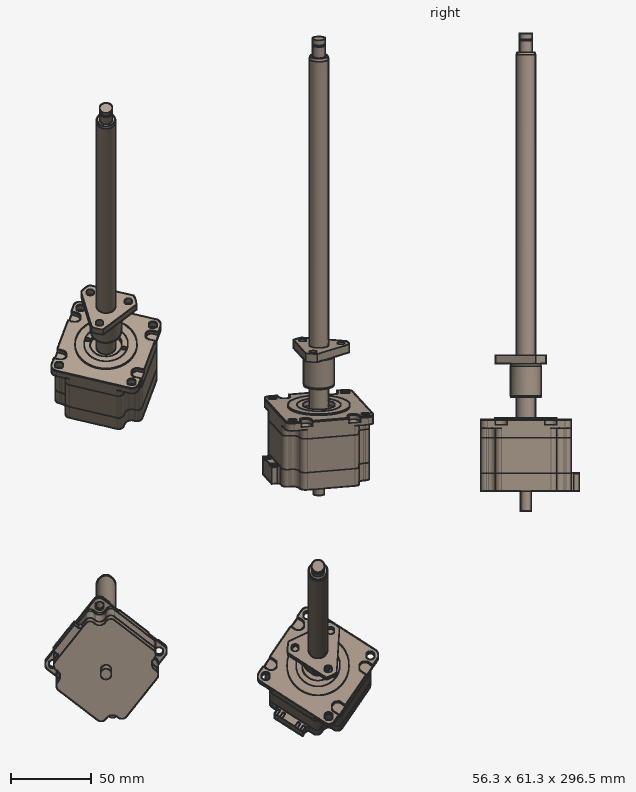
import cadquery as cq

motor_width = 56.3
half_width = motor_width / 2
stator_bottom_z = 11.3
stator_top_z = 33.2
ear_bottom_z = 39.0
sheet_thickness = 1.0
motor_top_z = 44.8
sheet_bottom_z = motor_top_z - sheet_thickness

plate_corner_radius = 4.1
notch_inner = 19.0
notch_inner_radius = 4.5
notch_outer_radius = 3.5
mount_hole_offset = 23.5
mount_hole_diameter = 5.3

boss_diameter = 38.5
boss_height = 1.0
boss_top_z = motor_top_z + boss_height
ring_outer_diameter = 27.3
ring_bore_diameter = 20.0
ring_thickness = 3.0
ring_bottom_z = boss_top_z - ring_thickness
spanner_hole_diameter = 2.7
spanner_hole_offset = (ring_outer_diameter + ring_bore_diameter) / 4

blind_hole_count = 8
blind_hole_diameter = 4.5
blind_hole_circle_radius = 24.5
blind_hole_depth = 3.5

slot_width = 7.5
slot_length = 7.0
slot_depth = 3.5
slot_centre_y = 15.5

connector_width = 21.0
connector_base_width = 24.0
connector_base_depth = 1.5
connector_depth = 5.0
connector_height = 11.5
key_slot_width = 1.8
key_slot_depth = 1.0
key_slot_offsets = (5.5, 9.5)

total_length = 296.5
shaft_bottom_z = -12.5
shaft_top_z = shaft_bottom_z + total_length
rear_shaft_diameter = 6.8
screw_diameter = 12.2
screw_top_z = 272.5
screw_chamfer_height = 1.8
screw_chamfer_width = 0.5
journal_diameter = 8.0
groove_diameter = 7.0
groove_bottom_z = 279.5
groove_width = 1.0

nut_bottom_z = 58.5
nut_body_diameter = 19.3
nut_chamfer_height = 1.0
nut_chamfer_width = 0.3
nut_neck_diameter = 18.7
nut_neck_height = 1.8
nut_flange_bottom_z = 79.0
nut_flange_thickness = 5.3
nut_flange_inner_radius = 12.5
nut_flange_outer_radius = 19.0
nut_hole_count = 3
nut_hole_diameter = 4.7
nut_hole_circle_radius = 14.2


def cylinder(diameter, bottom_z, top_z):
    """Cylinder on the Z axis."""
    return cq.Workplane("XY").workplane(offset=bottom_z).circle(diameter / 2).extrude(top_z - bottom_z)


def plate(bottom_z, top_z):
    """Square plate with rounded vertical corners."""
    block = cq.Workplane("XY").workplane(offset=bottom_z).rect(motor_width, motor_width)
    return block.extrude(top_z - bottom_z).edges("|Z").fillet(plate_corner_radius)


def notched_block(bottom_z, top_z):
    """Square block with a rounded notch in each vertical corner."""
    height = top_z - bottom_z
    block = cq.Workplane("XY").workplane(offset=bottom_z).rect(motor_width, motor_width).extrude(height)
    notch_size = half_width - notch_inner
    notch_centre = half_width - notch_size / 2
    notches = (
        cq.Workplane("XY")
        .workplane(offset=bottom_z)
        .rect(2 * notch_centre, 2 * notch_centre, forConstruction=True)
        .vertices()
        .rect(notch_size, notch_size)
        .extrude(height)
    )
    block = block.cut(notches)
    block = block.edges("|Z").edges("<X or >X or <Y or >Y").fillet(notch_outer_radius)
    inner_limit = notch_inner + notch_inner_radius / 2
    inner_corners = cq.selectors.BoxSelector(
        (-inner_limit, -inner_limit, bottom_z),
        (inner_limit, inner_limit, top_z),
    )
    return block.edges("|Z").edges(inner_corners).fillet(notch_inner_radius)


def mount_holes():
    """Through holes in the four plate corners."""
    return (
        cq.Workplane("XY")
        .workplane(offset=ear_bottom_z)
        .rect(2 * mount_hole_offset, 2 * mount_hole_offset, forConstruction=True)
        .vertices()
        .circle(mount_hole_diameter / 2)
        .extrude(motor_top_z - ear_bottom_z)
    )


def side_slots():
    """Four slots with a round inner end, open at the left and right edges."""
    slot_centres = [(x, y) for x in (-half_width, half_width) for y in (-slot_centre_y, slot_centre_y)]
    return (
        cq.Workplane("XY")
        .workplane(offset=motor_top_z - slot_depth)
        .pushPoints(slot_centres)
        .slot2D(2 * slot_length, slot_width)
        .extrude(slot_depth)
    )


def make_cover_sheet():
    """Thin sheet on top of the flange, around the boss."""
    sheet = plate(sheet_bottom_z, motor_top_z)
    sheet = sheet.cut(cylinder(boss_diameter, sheet_bottom_z, motor_top_z))
    return sheet.cut(mount_holes()).cut(side_slots())


def make_flange():
    """Front flange with the pilot boss and four mounting ears."""
    flange = plate(ear_bottom_z, sheet_bottom_z).union(notched_block(stator_top_z, ear_bottom_z))
    flange = flange.union(cylinder(boss_diameter, sheet_bottom_z, boss_top_z))
    blind_holes = (
        cq.Workplane("XY")
        .workplane(offset=sheet_bottom_z - blind_hole_depth)
        .polarArray(blind_hole_circle_radius, 180 / blind_hole_count, 360, blind_hole_count)
        .circle(blind_hole_diameter / 2)
        .extrude(blind_hole_depth)
    )
    flange = flange.cut(mount_holes()).cut(side_slots()).cut(blind_holes)
    flange = flange.cut(cylinder(ring_outer_diameter, ring_bottom_z, boss_top_z))
    return flange.cut(cylinder(screw_diameter, stator_top_z, boss_top_z))


def make_retaining_ring():
    """Ring flush with the boss, with two spanner holes."""
    ring = cylinder(ring_outer_diameter, ring_bottom_z, boss_top_z)
    ring = ring.cut(cylinder(ring_bore_diameter, ring_bottom_z, boss_top_z))
    spanner_holes = (
        cq.Workplane("XY")
        .workplane(offset=ring_bottom_z)
        .pushPoints([(-spanner_hole_offset, 0), (spanner_hole_offset, 0)])
        .circle(spanner_hole_diameter / 2)
        .extrude(ring_thickness)
    )
    return ring.cut(spanner_holes)


def make_stator():
    """Middle of the motor, bored for the screw."""
    stator = notched_block(stator_bottom_z, stator_top_z)
    return stator.cut(cylinder(screw_diameter, stator_bottom_z, stator_top_z))


def make_end_cover():
    """Bottom of the motor, bored for the rear shaft."""
    return notched_block(0, stator_bottom_z).cut(cylinder(rear_shaft_diameter, 0, stator_bottom_z))


def make_connector():
    """Socket block on a wider tapered foot, with key slots in its top."""
    foot_y = half_width + connector_base_depth
    end_y = half_width + connector_depth
    right_side = [
        (connector_base_width / 2, half_width),
        (connector_width / 2, foot_y),
        (connector_width / 2, end_y),
    ]
    left_side = [(-x, y) for x, y in reversed(right_side)]
    connector = cq.Workplane("XY").polyline(right_side + left_side).close().extrude(connector_height)
    slot_length_y = end_y - foot_y
    slot_centres = [(side * x, foot_y + slot_length_y / 2) for side in (-1, 1) for x in key_slot_offsets]
    key_slots = (
        cq.Workplane("XY")
        .workplane(offset=connector_height - key_slot_depth)
        .pushPoints(slot_centres)
        .rect(key_slot_width, slot_length_y)
        .extrude(key_slot_depth)
    )
    return connector.cut(key_slots)


def make_screw():
    """Screw with a thin rear shaft below and a grooved journal above."""
    chamfer_bottom_z = screw_top_z - screw_chamfer_height
    screw = cylinder(rear_shaft_diameter, shaft_bottom_z, stator_bottom_z)
    screw = screw.union(cylinder(screw_diameter, stator_bottom_z, chamfer_bottom_z))
    taper = (
        cq.Workplane("XZ")
        .moveTo(0, chamfer_bottom_z)
        .lineTo(screw_diameter / 2, chamfer_bottom_z)
        .lineTo(screw_diameter / 2 - screw_chamfer_width, screw_top_z)
        .lineTo(0, screw_top_z)
        .close()
        .revolve(360, (0, 0, 0), (0, 1, 0))
    )
    screw = screw.union(taper)
    groove_top_z = groove_bottom_z + groove_width
    screw = screw.union(cylinder(journal_diameter, screw_top_z, groove_bottom_z))
    screw = screw.union(cylinder(groove_diameter, groove_bottom_z, groove_top_z))
    return screw.union(cylinder(journal_diameter, groove_top_z, shaft_top_z))


def make_nut():
    """Round nut with a rounded triangular flange on top."""
    neck_bottom_z = nut_flange_bottom_z - nut_neck_height
    flange_top_z = nut_flange_bottom_z + nut_flange_thickness
    body = cylinder(nut_body_diameter, nut_bottom_z, neck_bottom_z)
    body = body.faces("<Z").edges().chamfer(nut_chamfer_height, nut_chamfer_width)
    neck = cylinder(nut_neck_diameter, neck_bottom_z, nut_flange_bottom_z)
    triangle = (
        cq.Workplane("XY")
        .workplane(offset=nut_flange_bottom_z)
        .transformed(rotate=(0, 0, -90))
        .polygon(3, 4 * nut_flange_inner_radius)
        .extrude(nut_flange_thickness)
    )
    flange = triangle.intersect(cylinder(2 * nut_flange_outer_radius, nut_flange_bottom_z, flange_top_z))
    bolt_holes = (
        cq.Workplane("XY")
        .workplane(offset=nut_flange_bottom_z)
        .polarArray(nut_hole_circle_radius, -90, 360, nut_hole_count)
        .circle(nut_hole_diameter / 2)
        .extrude(nut_flange_thickness)
    )
    nut = body.union(neck).union(flange).cut(bolt_holes)
    return nut.cut(cylinder(screw_diameter, nut_bottom_z, flange_top_z))


cover_sheet = make_cover_sheet()
flange = make_flange()
retaining_ring = make_retaining_ring()
stator = make_stator()
end_cover = make_end_cover()
connector = make_connector()
screw = make_screw()
nut = make_nut()

result = cq.Compound.makeCompound(
    [
        cover_sheet.val(),
        flange.val(),
        retaining_ring.val(),
        stator.val(),
        end_cover.val(),
        connector.val(),
        screw.val(),
        nut.val(),
    ]
)